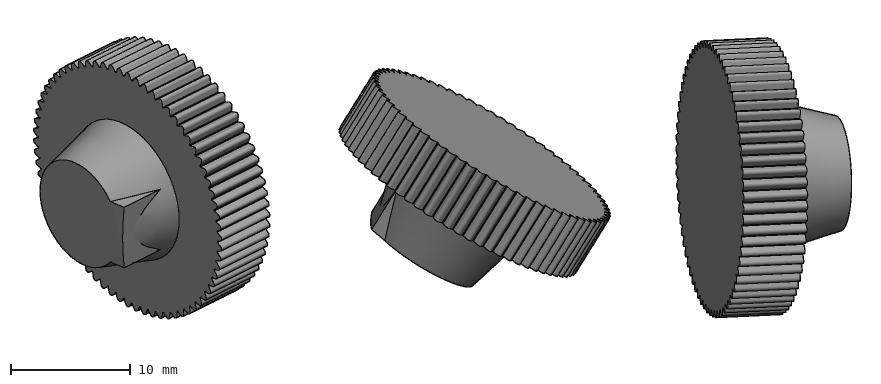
import cadquery as cq
import math

tooth_count = 70
tip_radius = 11.595
tooth_depth = 0.54
root_land = 0.08
tip_round = 0.25
wheel_thickness = 5.5

hub_base_radius = 6.35
hub_end_radius = 4.85
hub_length = 5.5

pad_width = 6.0
pad_flat_x = 5.25
pad_end_slope_angle = 12.0

root_radius = tip_radius - tooth_depth
pitch_angle = 2 * math.pi / tooth_count
foot_angle = pitch_angle / 2 - math.asin(root_land / 2 / root_radius)


def polar_point(radius, angle):
    """Point in the XZ plane; the angle runs clockwise from +Z."""
    return (radius * math.sin(angle), radius * math.cos(angle))


def flank_end():
    """Radius and angle, from the tooth axis, where a straight flank meets the rounded tip."""
    foot_x, foot_z = polar_point(root_radius, foot_angle)
    round_center = tip_radius - tip_round
    drop = round_center - foot_z
    foot_distance = math.hypot(foot_x, drop)
    normal_angle = math.atan2(foot_x, -drop) - math.acos(tip_round / foot_distance)
    x = tip_round * math.sin(normal_angle)
    z = round_center + tip_round * math.cos(normal_angle)
    return math.hypot(x, z), math.atan2(x, z)


def make_wheel():
    flank_radius, flank_angle = flank_end()
    outline = cq.Workplane("XZ").moveTo(*polar_point(root_radius, -foot_angle))
    for tooth in range(tooth_count):
        axis_angle = tooth * pitch_angle
        if tooth > 0:
            outline = outline.lineTo(*polar_point(root_radius, axis_angle - foot_angle))
        outline = outline.lineTo(*polar_point(flank_radius, axis_angle - flank_angle))
        outline = outline.threePointArc(
            polar_point(tip_radius, axis_angle),
            polar_point(flank_radius, axis_angle + flank_angle),
        )
        outline = outline.lineTo(*polar_point(root_radius, axis_angle + foot_angle))
    return outline.close().extrude(-wheel_thickness)


def revolve_about_y(profile):
    return cq.Workplane("XY").polyline(profile).close().revolve(360, (0, 0, 0), (0, 1, 0))


def make_hub():
    return revolve_about_y([(0, 0), (hub_base_radius, 0), (hub_end_radius, -hub_length), (0, -hub_length)])


def make_pad():
    end_slope = math.tan(math.radians(pad_end_slope_angle))
    corner_radius = math.hypot(pad_flat_x, pad_width / 2)
    corner_y = -hub_length + end_slope * (corner_radius - hub_end_radius)
    envelope = revolve_about_y(
        [(0, 0), (corner_radius, 0), (corner_radius, corner_y), (hub_end_radius, -hub_length), (0, -hub_length)]
    )
    block = cq.Workplane("XY").box(pad_flat_x, hub_length, pad_width, centered=(False, False, True))
    return envelope.intersect(block.translate((0, -hub_length, 0)))


result = make_wheel().union(make_hub()).union(make_pad())